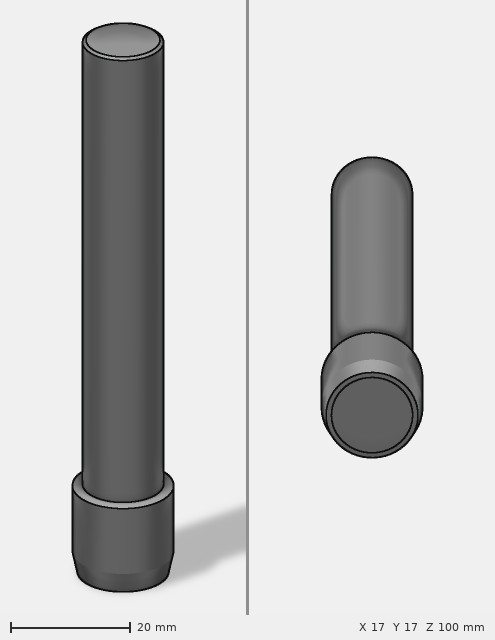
import cadquery as cq

overall_length = 100.0
pin_radius = 6.8
pin_chamfer_width = 0.6
pin_chamfer_height = 0.4

collar_radius = 8.5
collar_foot_radius = 7.7
foot_taper_height = 3.8
collar_rim_height = 16.1
collar_top_height = 16.4


def make_pin():
    """Straight pin with a chamfered top edge, standing on the base plane."""
    profile = [
        (0, 0),
        (pin_radius, 0),
        (pin_radius, overall_length - pin_chamfer_height),
        (pin_radius - pin_chamfer_width, overall_length),
        (0, overall_length),
    ]
    return cq.Workplane("XZ").polyline(profile).close().revolve(360, (0, 0), (0, 1))


def make_collar():
    """Ring with a tapered foot and a shallow conical top, bored to fit the pin."""
    profile = [
        (pin_radius, 0),
        (collar_foot_radius, 0),
        (collar_radius, foot_taper_height),
        (collar_radius, collar_rim_height),
        (pin_radius, collar_top_height),
    ]
    return cq.Workplane("XZ").polyline(profile).close().revolve(360, (0, 0), (0, 1))


pin = make_pin()
collar = make_collar()

result = cq.Compound.makeCompound([pin.val(), collar.val()])